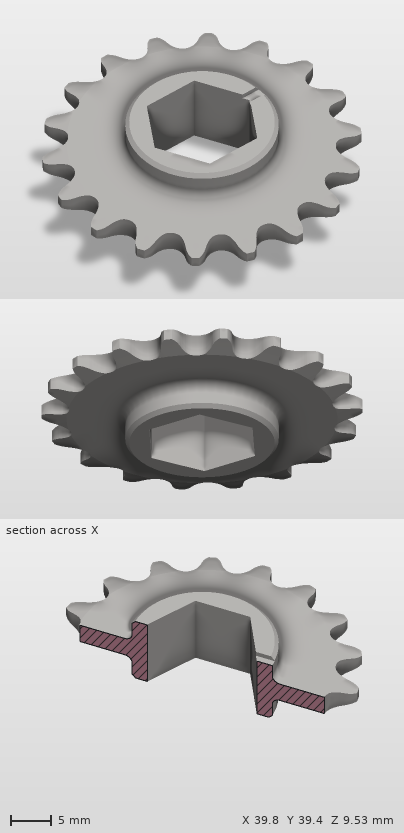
import cadquery as cq
import math

INCH = 25.4

TOOTH_COUNT = 18
PITCH = 0.250 * INCH
ROLLER_DIAMETER = 0.130 * INCH
PLATE_THICKNESS = 0.110 * INCH
TIP_THICKNESS = 1.38
FLAT_FACE_RADIUS = 16.8

SEAT_RATIO = 1.0005
SEAT_CLEARANCE = 0.003 * INCH
SEAT_TO_WORKING_RATIO = 0.8
SEAT_TO_TIP_RATIO = 1.4
WORKING_RATIO = 1.3025
WORKING_CLEARANCE = 0.0015 * INCH
OUTER_DIAMETER_CONSTANT = 0.6
SEAT_ANGLE = 35 + 60 / TOOTH_COUNT
WORKING_ANGLE = 18 - 56 / TOOTH_COUNT
TIP_ANGLE = 17 - 64 / TOOTH_COUNT

HUB_DIAMETER = 0.750 * INCH
HUB_LENGTH = 0.375 * INCH
HUB_CHAMFER = 0.5
HUB_FILLET = 1.0

HEX_SIDES = 6
HEX_ACROSS_FLATS = 0.505 * INCH
SLOT_WIDTH = INCH / 16
SLOT_DEPTH = 0.025 * INCH

JOIN_TOLERANCE = 1e-4

HALF_PITCH_ANGLE = 180 / TOOTH_COUNT
PITCH_RADIUS = PITCH / 2 / math.sin(math.radians(HALF_PITCH_ANGLE))
OUTER_RADIUS = PITCH / 2 * (OUTER_DIAMETER_CONSTANT + 1 / math.tan(math.radians(HALF_PITCH_ANGLE)))


def polar(radius, degrees):
    """Vector of the given length and direction in the XY plane."""
    angle = math.radians(degrees)
    return cq.Vector(radius * math.cos(angle), radius * math.sin(angle))


def direction(point):
    """Direction in degrees of a point seen from the axis."""
    return math.degrees(math.atan2(point.y, point.x))


def flank_points():
    """Points of one ASA tooth-space flank, from the space bottom out to the tooth tip.

    The space points along +Y and the flank is on its -X side. In order: seat bottom,
    seat middle, seat end, working-arc middle, working-arc end, tip-arc start,
    tip-arc middle, tip corner on the outer circle.
    """
    seat_radius = (SEAT_RATIO * ROLLER_DIAMETER + SEAT_CLEARANCE) / 2
    working_radius = WORKING_RATIO * ROLLER_DIAMETER + WORKING_CLEARANCE
    tip_radius = ROLLER_DIAMETER * (
        SEAT_TO_WORKING_RATIO * math.cos(math.radians(WORKING_ANGLE))
        + SEAT_TO_TIP_RATIO * math.cos(math.radians(TIP_ANGLE))
        - WORKING_RATIO
    ) - WORKING_CLEARANCE
    straight_length = ROLLER_DIAMETER * (
        SEAT_TO_TIP_RATIO * math.sin(math.radians(TIP_ANGLE))
        - SEAT_TO_WORKING_RATIO * math.sin(math.radians(WORKING_ANGLE))
    )

    seat_center = cq.Vector(0, PITCH_RADIUS)
    seat_end_direction = 180 + SEAT_ANGLE
    seat_bottom = seat_center + polar(seat_radius, 270)
    seat_middle = seat_center + polar(seat_radius, (270 + seat_end_direction) / 2)
    seat_end = seat_center + polar(seat_radius, seat_end_direction)

    working_center = seat_center + polar(SEAT_TO_WORKING_RATIO * ROLLER_DIAMETER, SEAT_ANGLE)
    working_end_direction = seat_end_direction - WORKING_ANGLE
    working_middle = working_center + polar(working_radius, seat_end_direction - WORKING_ANGLE / 2)
    working_end = working_center + polar(working_radius, working_end_direction)

    tip_center = seat_center + polar(SEAT_TO_TIP_RATIO * ROLLER_DIAMETER, 180 + HALF_PITCH_ANGLE)
    tip_start = working_end + polar(straight_length, working_end_direction - 90)
    center_distance = tip_center.Length
    corner_offset = math.degrees(math.acos(
        (center_distance**2 + OUTER_RADIUS**2 - tip_radius**2) / (2 * center_distance * OUTER_RADIUS)
    ))
    tip_corner = polar(OUTER_RADIUS, direction(tip_center) - corner_offset)
    chord_middle = (tip_start + tip_corner) / 2
    tip_middle = tip_center + (chord_middle - tip_center).normalized() * tip_radius

    return [
        seat_bottom, seat_middle, seat_end, working_middle,
        working_end, tip_start, tip_middle, tip_corner,
    ]


def tooth_edges():
    """Outline of one tooth space and the tip land that follows it counter-clockwise."""
    left = flank_points()
    right = [cq.Vector(-point.x, point.y) for point in left]
    edges = []
    for flank in (left, right):
        (seat_bottom, seat_middle, seat_end, working_middle,
         working_end, tip_start, tip_middle, tip_corner) = flank
        edges.append(cq.Edge.makeThreePointArc(seat_bottom, seat_middle, seat_end))
        edges.append(cq.Edge.makeThreePointArc(seat_end, working_middle, working_end))
        edges.append(cq.Edge.makeLine(working_end, tip_start))
        edges.append(cq.Edge.makeThreePointArc(tip_start, tip_middle, tip_corner))

    land_start = left[-1]
    land_middle = polar(OUTER_RADIUS, 90 + HALF_PITCH_ANGLE)
    land_end = polar(OUTER_RADIUS, direction(right[-1]) + 2 * HALF_PITCH_ANGLE)
    edges.append(cq.Edge.makeThreePointArc(land_start, land_middle, land_end))
    return edges


def toothed_plate():
    """Plate with the full tooth outline and square edges, centred on the XY plane."""
    axis_start = cq.Vector(0, 0, 0)
    axis_end = cq.Vector(0, 0, 1)
    outline = []
    for index in range(TOOTH_COUNT):
        turn = 2 * HALF_PITCH_ANGLE * index
        outline += [edge.rotate(axis_start, axis_end, turn) for edge in tooth_edges()]
    wire = cq.Wire.combine(outline, JOIN_TOLERANCE)[0]
    plate = cq.Solid.extrudeLinear(wire, [], cq.Vector(0, 0, PLATE_THICKNESS))
    return cq.Workplane("XY").add(plate.translate(cq.Vector(0, 0, -PLATE_THICKNESS / 2)))


def turned_blank():
    """Solid of revolution: tapered rim, plate faces, filleted and chamfered hubs."""
    hub_radius = HUB_DIAMETER / 2
    hub_top = HUB_LENGTH / 2
    plate_top = PLATE_THICKNESS / 2
    fillet_middle_offset = HUB_FILLET * (1 - math.sqrt(0.5))
    upper_half = (
        cq.Workplane("XZ")
        .moveTo(0, 0)
        .lineTo(OUTER_RADIUS, 0)
        .lineTo(OUTER_RADIUS, TIP_THICKNESS / 2)
        .lineTo(FLAT_FACE_RADIUS, plate_top)
        .lineTo(hub_radius + HUB_FILLET, plate_top)
        .threePointArc(
            (hub_radius + fillet_middle_offset, plate_top + fillet_middle_offset),
            (hub_radius, plate_top + HUB_FILLET),
        )
        .lineTo(hub_radius, hub_top - HUB_CHAMFER)
        .lineTo(hub_radius - HUB_CHAMFER, hub_top)
        .lineTo(0, hub_top)
        .close()
        .revolve(360, (0, 0, 0), (0, 1, 0))
    )
    return upper_half.union(upper_half.mirror("XY"))


def hub_cylinder():
    """Plain envelope of the two hubs with their fillets; lets the hubs stand above the toothed plate."""
    return cq.Workplane("XY").circle(HUB_DIAMETER / 2 + HUB_FILLET).extrude(HUB_LENGTH / 2, both=True)


def hex_bore():
    """Through bore with two corners on the Y axis."""
    across_corners = HEX_ACROSS_FLATS / math.cos(math.pi / HEX_SIDES)
    return (
        cq.Workplane("XY")
        .transformed(rotate=(0, 0, 90))
        .polygon(HEX_SIDES, across_corners)
        .extrude(HUB_LENGTH / 2, both=True)
    )


def end_face_slot():
    """Shallow radial slot in the top hub face, running from the bore out through the hub wall along +Y."""
    slot_length = HUB_DIAMETER / 2 + HUB_FILLET
    slot_floor = HUB_LENGTH / 2 - SLOT_DEPTH
    return (
        cq.Workplane("XY")
        .box(SLOT_WIDTH, slot_length, SLOT_DEPTH, centered=(True, False, False))
        .translate((0, 0, slot_floor))
    )


hub_and_teeth = toothed_plate().union(hub_cylinder())
result = turned_blank().intersect(hub_and_teeth).cut(hex_bore()).cut(end_face_slot())